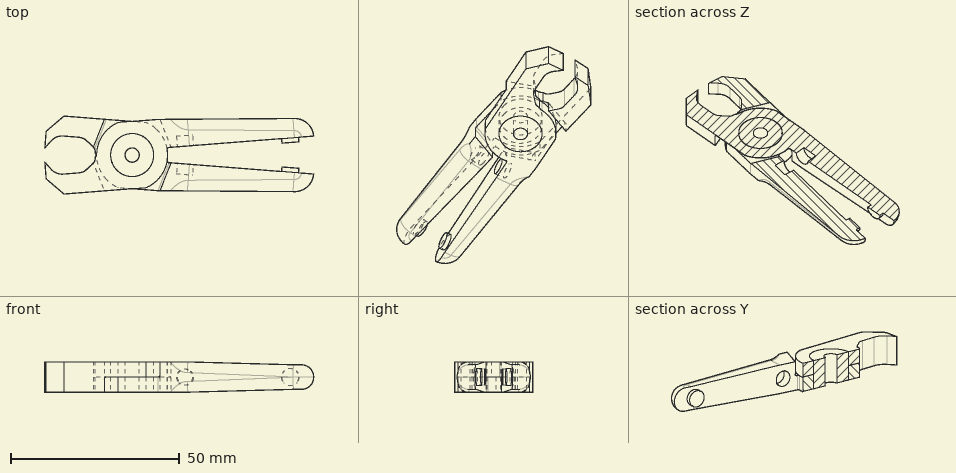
import cadquery as cq
import math


overall_length = 79.65
thickness = 9.0
half_thickness = thickness / 2
opening_angle = 4.5
half_width = 9.95

hub_radius = 10.5
pin_radius = 6.4
pin_bore_radius = 2.1

lap_wall_distance = 11.55
lap_wall_angle = 17
lap_root_radius = 0.55
lap_cut_length = 63.7

jaw_tip_x = -26.0
jaw_tip_height = 5.0
jaw_corner_x = -21.0
mouth_half_width = 4.0
mouth_flat_front_x = -20.55
mouth_flat_back_x = -15.85
mouth_back_mid_x = -12.9
mouth_back_mid_y = -2.5
mouth_back_end_x = -11.0
mouth_back_end_y = 0.2
mouth_blend_start_y = 1.4
lip_x = -24.2
lip_y = -2.3
lip_bulge_x = -22.8
lip_bulge_y = -3.5

inner_face_y = 1.35
crotch_radius = 0.5
handle_bend_x = 8.45
rounding_start_x = 12.1
grip_start_x = 17.1
grip_end_width = 5.7
grip_end_half_height = 3.7
grip_start_rounding = 3.2
grip_end_flat = 0.03
grip_end_rounding = grip_end_half_height - grip_end_flat
first_rounding = 0.04
rounding_steps = 4
swing = math.radians(opening_angle)
lever_reach = (overall_length + inner_face_y * math.sin(swing)) / math.cos(swing) + jaw_tip_x
grip_end_x = lever_reach - grip_end_width

pad_x = 47.0
pad_radius = 2.55
spring_hole_x = 15.9
spring_hole_radius = 2.4
spring_hole_depth = 3.2


def handle_outer_y(x):
    """Outer edge of the handle: a straight taper from the bend to the grip end."""
    drop = half_width - (inner_face_y + grip_end_width)
    return half_width - drop * (x - handle_bend_x) / (grip_end_x - handle_bend_x)


def plate():
    """Flat part of the lever: jaw, hub and inner end of the handle, at full thickness."""
    hub_flat_x = math.sqrt(hub_radius**2 - half_width**2)
    hub_inner_x = math.sqrt(hub_radius**2 - inner_face_y**2)
    hub_mouth_x = -math.sqrt(hub_radius**2 - mouth_blend_start_y**2)
    hub_diagonal = hub_radius * math.sqrt(0.5)

    blank = (
        cq.Workplane("XY")
        .workplane(offset=-half_thickness)
        .moveTo(jaw_tip_x, 0)
        .lineTo(jaw_tip_x, -jaw_tip_height)
        .lineTo(jaw_corner_x, -half_width)
        .lineTo(hub_flat_x, -half_width)
        .threePointArc((hub_diagonal, -hub_diagonal), (hub_inner_x, inner_face_y))
        .lineTo(rounding_start_x, inner_face_y)
        .lineTo(rounding_start_x, handle_outer_y(rounding_start_x))
        .lineTo(handle_bend_x, half_width)
        .lineTo(-hub_flat_x, half_width)
        .threePointArc((-hub_diagonal, hub_diagonal), (hub_mouth_x, mouth_blend_start_y))
        .tangentArcPoint((mouth_back_end_x, mouth_back_end_y), relative=False)
        .spline(
            [(mouth_back_mid_x, mouth_back_mid_y), (mouth_flat_back_x, -mouth_half_width)],
            tangents=[(0, -1), (-1, 0)],
            includeCurrent=True,
        )
        .lineTo(mouth_flat_front_x, -mouth_half_width)
        .threePointArc((lip_bulge_x, lip_bulge_y), (lip_x, lip_y))
        .close()
        .extrude(thickness)
    )
    crotch = cq.selectors.NearestToPointSelector((hub_inner_x, inner_face_y, 0))
    return blank.edges("|Z").edges(crotch).fillet(crotch_radius)


def handle_section(x, half_height, rounding):
    """Handle cross-section at x, with its two outer corners rounded."""
    outer_y = handle_outer_y(x)
    round_y = outer_y - rounding
    round_z = half_height - rounding
    diagonal = rounding * math.sqrt(0.5)
    return (
        cq.Workplane("YZ")
        .workplane(offset=x)
        .moveTo(inner_face_y, -half_height)
        .lineTo(round_y, -half_height)
        .threePointArc((round_y + diagonal, -round_z - diagonal), (outer_y, -round_z))
        .lineTo(outer_y, round_z)
        .threePointArc((round_y + diagonal, round_z + diagonal), (round_y, half_height))
        .lineTo(inner_face_y, half_height)
        .close()
    )


def rounding_runout():
    """Handle root where the corner rounding grows from almost nothing to its full radius."""
    sections = []
    for step in range(rounding_steps + 1):
        part = step / rounding_steps
        x = rounding_start_x + part * (grip_start_x - rounding_start_x)
        growth = 1 - (1 - part) ** 2
        rounding = first_rounding + growth * (grip_start_rounding - first_rounding)
        sections.append(handle_section(x, half_thickness, rounding).wires().val())
    return cq.Workplane(cq.Solid.makeLoft(sections))


def grip():
    """Tapered grip, closed by its end section revolved about the inner edge."""
    start = handle_section(grip_start_x, half_thickness, grip_start_rounding)
    end = handle_section(grip_end_x, grip_end_half_height, grip_end_rounding)
    taper = cq.Solid.makeLoft([start.wires().val(), end.wires().val()], True)
    end_cap = end.revolve(90, (inner_face_y, 0.8, 0), (inner_face_y, 0, 0))
    return cq.Workplane(taper).union(end_cap)


def inner_face_cylinder(x, radius, start_y, end_y):
    """Cylinder square to the inner face of the handle, from start_y to end_y."""
    return (
        cq.Workplane("XZ", origin=(x, end_y, 0))
        .circle(radius)
        .extrude(end_y - start_y)
    )


def lap_cut():
    """Lower-half space between the slanted lap walls, rounded along the wall roots."""
    return (
        cq.Workplane("XY")
        .box(2 * lap_wall_distance, lap_cut_length, thickness)
        .translate((0, 0, -half_thickness))
        .edges("|Y and >Z")
        .fillet(lap_root_radius)
        .rotate((0, 0, 0), (0, 0, 1), lap_wall_angle)
    )


def pin_hole():
    """Through hole of the lever that the pivot pin fills."""
    return cq.Workplane("XY").circle(pin_radius).extrude(thickness, both=True)


def make_lever():
    """One lever with its half of the hub above and the lap cut below, swung open."""
    pad = inner_face_cylinder(pad_x, pad_radius, 0, inner_face_y)
    spring_hole = inner_face_cylinder(
        spring_hole_x, spring_hole_radius, inner_face_y, inner_face_y + spring_hole_depth
    )
    return (
        plate()
        .union(rounding_runout())
        .union(grip())
        .union(pad)
        .cut(spring_hole)
        .cut(lap_cut())
        .cut(pin_hole())
        .rotate((0, 0, 0), (0, 0, 1), opening_angle)
        .solids()
    )


def make_pivot_pin():
    """Hollow pin, flush with both sides of the levers."""
    return (
        cq.Workplane("XY")
        .workplane(offset=-half_thickness)
        .circle(pin_radius)
        .circle(pin_bore_radius)
        .extrude(thickness)
    )


levers = []
for turn in (0, 180):
    levers.append(make_lever().rotate((0, 0, 0), (1, 0, 0), turn))
pivot_pin = make_pivot_pin()

result = cq.Compound.makeCompound([lever.val() for lever in levers] + [pivot_pin.val()])